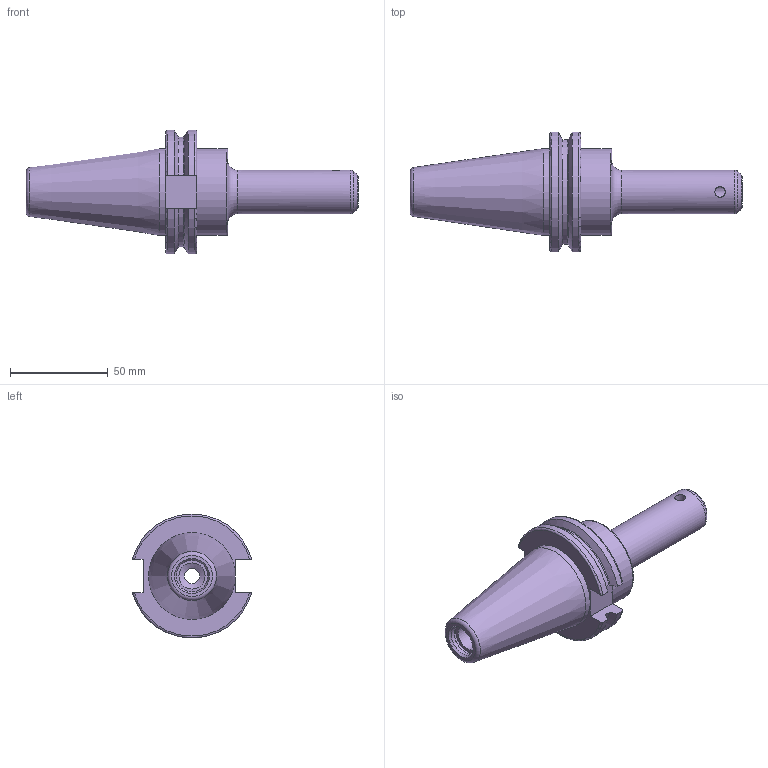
import cadquery as cq
import math


gauge_diameter = 44.45
taper_length = 68.25
taper_ratio = 7 / 24
taper_end_round = 2.0

flange_diameter = 63.5
flange_start = 3.175
flange_end = 19.05
flange_edge_round = 1.0
groove_floor_diameter = 56.2
groove_floor_width = 2.95
groove_half_angle = 30.0
groove_corner_round = 0.6

slot_width = 17.13
front_slot_floor = 22.225
back_slot_floor = 25.0

collar_end = 34.9
collar_edge_round = 0.75
nose_diameter = 22.35
nose_end = 101.6
nose_root_round = 5.0
nose_chamfer = 2.9
nose_edge_round = 2.0
nose_face_round = 1.0

through_diameter = 7.94
mouth_diameter = 17.8
mouth_half_angle = 30.0
pilot_diameter = 16.3
pilot_depth = 3.3
recess_diameter = 16.8
recess_depth = 4.7
thread_diameter = 13.39
thread_depth = 32.0
drill_point_angle = 118.0
screw_hole_diameter = 5.36
screw_hole_from_end = 11.2

taper_start = -taper_length
taper_end_diameter = gauge_diameter - taper_length * taper_ratio


def revolve(points):
    """Turn a closed (x, radius) outline about the X axis."""
    outline = cq.Workplane("XY").polyline(points).close()
    return outline.revolve(360, (0, 0, 0), (1, 0, 0))


def edges_at(body, x, diameter):
    """Select the circular edge with the given axial position and diameter."""
    gap = 0.01
    plane_box = cq.selectors.BoxSelector(
        (x - gap, -diameter, -diameter), (x + gap, diameter, diameter), boundingbox=True
    )
    circles = body.edges(plane_box).vals()
    ring = [edge for edge in circles if abs(edge.radius() - diameter / 2) < gap]
    return body.newObject(ring)


def make_body():
    """Taper, flange, collar and nose as one turned body with its edges rounded."""
    body = revolve([
        (taper_start, 0),
        (taper_start, taper_end_diameter / 2),
        (0, gauge_diameter / 2),
        (flange_start, gauge_diameter / 2),
        (flange_start, flange_diameter / 2),
        (flange_end, flange_diameter / 2),
        (flange_end, gauge_diameter / 2),
        (collar_end, gauge_diameter / 2),
        (collar_end, nose_diameter / 2),
        (nose_end - nose_chamfer, nose_diameter / 2),
        (nose_end, nose_diameter / 2 - nose_chamfer),
        (nose_end, 0),
    ])
    rounds = [
        (taper_start, taper_end_diameter, taper_end_round),
        (flange_start, flange_diameter, flange_edge_round),
        (flange_end, flange_diameter, flange_edge_round),
        (collar_end, gauge_diameter, collar_edge_round),
        (collar_end, nose_diameter, nose_root_round),
        (nose_end - nose_chamfer, nose_diameter, nose_edge_round),
        (nose_end, nose_diameter - 2 * nose_chamfer, nose_face_round),
    ]
    for x, diameter, radius in rounds:
        body = edges_at(body, x, diameter).fillet(radius)
    return body


def cut_groove(body):
    """Cut the V groove for the tool gripper round the middle of the flange."""
    middle = (flange_start + flange_end) / 2
    floor_half = groove_floor_width / 2
    groove_depth = (flange_diameter - groove_floor_diameter) / 2
    top_half = floor_half + groove_depth * math.tan(math.radians(groove_half_angle))
    groove = revolve([
        (middle - floor_half, groove_floor_diameter / 2),
        (middle + floor_half, groove_floor_diameter / 2),
        (middle + top_half, flange_diameter / 2),
        (middle - top_half, flange_diameter / 2),
    ])
    for x in (middle - floor_half, middle + floor_half):
        groove = edges_at(groove, x, groove_floor_diameter).fillet(groove_corner_round)
    return body.cut(groove)


def cut_drive_slot(body, side, floor):
    """Cut one drive slot through the flange; side is +1 or -1 along Y."""
    slot_length = flange_end - flange_start
    slot = cq.Workplane("XY").box(
        slot_length, flange_diameter, slot_width, centered=(False, True, True)
    )
    return body.cut(slot.translate((flange_start, side * (floor + flange_diameter / 2), 0)))


def cut_bores(body):
    """Cut the stepped bore along the axis, open at both ends."""
    thread_end = taper_start + thread_depth
    point_slope = math.tan(math.radians(drill_point_angle / 2))
    point_length = (thread_diameter - through_diameter) / 2 / point_slope
    mouth_depth = (mouth_diameter - pilot_diameter) / 2 / math.tan(math.radians(mouth_half_angle))
    mouth_end = taper_start + mouth_depth
    pilot_end = taper_start + pilot_depth
    recess_end = taper_start + recess_depth
    return body.cut(revolve([
        (taper_start, 0),
        (taper_start, mouth_diameter / 2),
        (mouth_end, pilot_diameter / 2),
        (pilot_end, pilot_diameter / 2),
        (pilot_end, recess_diameter / 2),
        (recess_end, recess_diameter / 2),
        (recess_end, thread_diameter / 2),
        (thread_end, thread_diameter / 2),
        (thread_end + point_length, through_diameter / 2),
        (nose_end, through_diameter / 2),
        (nose_end, 0),
    ]))


def cut_screw_hole(body):
    """Drill the clamping screw hole from the top of the nose into the bore."""
    hole = cq.Workplane("XY").center(nose_end - screw_hole_from_end, 0)
    return body.cut(hole.circle(screw_hole_diameter / 2).extrude(nose_diameter))


result = make_body()
result = cut_groove(result)
result = cut_drive_slot(result, -1, front_slot_floor)
result = cut_drive_slot(result, 1, back_slot_floor)
result = cut_bores(result)
result = cut_screw_hole(result)